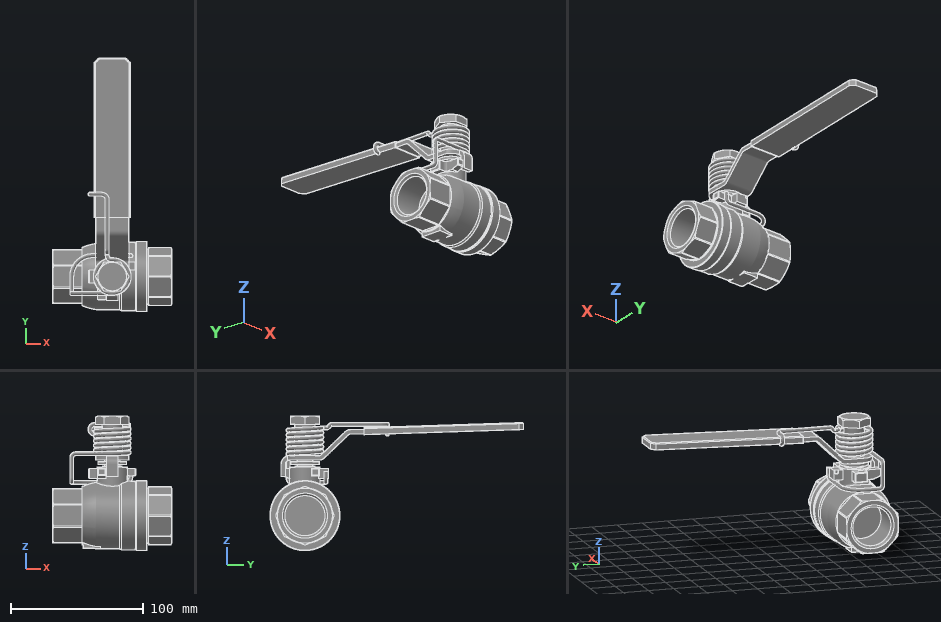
import cadquery as cq
import math


half_length = 45.0
octagon_sides = 8
octagon_flats = 41.0
octagon_corner_diameter = 44.0
end_chamfer_length = 0.6
end_chamfer_height = 1.3
left_end_x = -22.9
shoulder_x = -12.0
shoulder_start_radius = 22.0
shoulder_crown = 0.4
barrel_radius = 25.1
band_ramp_x = 5.4
band_x = 7.1
band_radius = 26.0
groove_x = 17.4
groove_width = 0.8
groove_depth = 0.8
flange_radius = 26.5
flange_chamfer = 0.4
flange_end_x = 26.4
neck_radius = 21.0
right_end_x = 27.4

port_diameter = 30.29
port_mouth_diameter = 34.0
port_depth = 26.0

pad_start_x = -22.0
pad_end_x = -8.8
pad_width = 18.4
pad_bottom_z = -24.8

boss_radius = 23.0 / 2
boss_top_z = 36.7
boss_root_fillet = 1.5
boss_root_sink = 0.15
lug_reach = 17.8
lug_top_z = 35.7
lug_bottom_z = 28.0
wide_lug_width = 10.0
narrow_lug_start = 4.8
narrow_lug_end = 11.0
right_lug_bottom_z = 30.0
front_lug_tip_z = 30.4
lug_root_fillet = 2.5
lug_tip_chamfer = 0.6
notch_y = 15.5
notch_width = 3.0
notch_depth = 1.0
notch_bottom_z = 32.7

stem_radius = 11.8 / 2
packing_radius = 7.5
packing_top_z = 37.6
washer_radius = 10.9
washer_bottom_z = 38.5
washer_top_z = 40.9
sleeve_radius = 15.5 / 2
nut_flats = 22.0
nut_bottom_z = 69.0
nut_top_z = 75.44
nut_chamfer_length = 1.1
nut_chamfer_height = 1.9

strap_width = 25.0
strap_thickness = 3.5
strap_bottom_z = 41.9
strap_top_z = strap_bottom_z + strap_thickness
strap_end_radius = 13.95
strap_end_corner_radius = 4.0
bend_start_y = 13.0
bend_end_y = 33.5
bend_inner_radius = 2.5
bend_outer_radius = bend_inner_radius + strap_thickness
handle_bottom_z = 61.6
stop_tab_width = 9.0
stop_tab_front_y = -18.1
stop_tab_bottom_z = 29.4
stop_tab_bend_radius = 6.5
stop_tab_corner_radius = 1.0

grip_start_y = 44.7
grip_overlap = 5.0
grip_end_y = 165.14
grip_width = 27.2
grip_thickness = 5.4
grip_bottom_z = 61.1
grip_tilt = 1.85
grip_corner = 3.5
grip_edge_chamfer = 0.8

wire_radius = 1.5
coil_radius = 12.75
coil_start_z = 46.8
coil_turns = 5.5
coil_pitch = 3.54
lower_leg_x = -30.6
lower_leg_z = 25.2
lower_leg_end_x = 14.0
lower_leg_tip_z = 33.5
lower_leg_sweep = 15.8
wire_bend = 3.0
lower_leg_tip_bend = 4.0
upper_leg_bend = 4.3
crank_bend = 1.0
upper_leg_x = -3.8
upper_leg_low_y = 17.0
upper_leg_high_y = 19.8
upper_leg_z = 68.95
hook_y = 62.2
hook_end_x = -13.1
hook_reach_x = -16.8
hook_drop = 7.3
hook_bend = 3.6


def box_between(x0, x1, y0, y1, z0, z1):
    return cq.Workplane("XY").box(x1 - x0, y1 - y0, z1 - z0, centered=False).translate((x0, y0, z0))


def cylinder_between(radius, z0, z1):
    return cq.Workplane("XY").workplane(offset=z0).circle(radius).extrude(z1 - z0)


def octagon_end(x0, x1, turn):
    """Octagonal wrench end with its corners turned down and its outer rim chamfered."""
    across_corners = octagon_flats / math.cos(math.pi / octagon_sides)
    prism = cq.Workplane("YZ").polygon(octagon_sides, across_corners).extrude(x1 - x0)
    prism = prism.rotate((0, 0, 0), (1, 0, 0), turn).translate((x0, 0, 0))
    outer_face = "<X" if x0 < 0 else ">X"
    turned = cq.Workplane("YZ").workplane(offset=x0).circle(octagon_corner_diameter / 2).extrude(x1 - x0)
    return prism.intersect(turned.faces(outer_face).chamfer(end_chamfer_length, end_chamfer_height))


def turned_body():
    groove_radius = band_radius - groove_depth
    shoulder_mid_radius = (shoulder_start_radius + barrel_radius) / 2 + shoulder_crown
    shoulder_mid = ((left_end_x + shoulder_x) / 2, shoulder_mid_radius)
    profile = (
        cq.Workplane("XY")
        .moveTo(left_end_x, 0)
        .lineTo(left_end_x, shoulder_start_radius)
        .threePointArc(shoulder_mid, (shoulder_x, barrel_radius))
        .lineTo(band_ramp_x, barrel_radius)
        .lineTo(band_x, band_radius)
        .lineTo(groove_x, band_radius)
        .lineTo(groove_x, groove_radius)
        .lineTo(groove_x + groove_width, groove_radius)
        .lineTo(groove_x + groove_width, flange_radius)
        .lineTo(flange_end_x - flange_chamfer, flange_radius)
        .lineTo(flange_end_x, flange_radius - flange_chamfer)
        .lineTo(flange_end_x, neck_radius)
        .lineTo(right_end_x, neck_radius)
        .lineTo(right_end_x, 0)
        .close()
    )
    return profile.revolve(360, (0, 0, 0), (1, 0, 0))


def port(side):
    """Blind threaded port with a 45 degree mouth; side is -1 or +1 along X."""
    radius = port_diameter / 2
    mouth_radius = port_mouth_diameter / 2
    face = side * half_length
    bevel_end = face - side * (mouth_radius - radius)
    floor = face - side * port_depth
    profile = (
        cq.Workplane("XY")
        .moveTo(face, 0)
        .lineTo(face, mouth_radius)
        .lineTo(bevel_end, radius)
        .lineTo(floor, radius)
        .lineTo(floor, 0)
        .close()
    )
    return profile.revolve(360, (0, 0, 0), (1, 0, 0))


def chamfered_tip(lug, tip):
    return lug.faces(tip).edges().chamfer(lug_tip_chamfer)


def front_lug():
    """Lug toward -Y whose underside rises to the tip."""
    points = [
        (0, lug_bottom_z),
        (0, lug_top_z),
        (-lug_reach, lug_top_z),
        (-lug_reach, front_lug_tip_z),
        (-boss_radius, lug_bottom_z),
    ]
    width = narrow_lug_end - narrow_lug_start
    lug = cq.Workplane("YZ").polyline(points).close().extrude(width)
    return lug.translate((-narrow_lug_end, 0, 0))


def back_lug():
    """Lug toward +Y with a shallow U notch in its -X side."""
    side = wide_lug_width / 2
    notch_radius = notch_width / 2
    lug = box_between(-side, side, 0, lug_reach, lug_bottom_z, lug_top_z)
    notch_z = notch_bottom_z + notch_radius
    notch = (
        cq.Workplane("YZ")
        .workplane(offset=-side)
        .moveTo(notch_y - notch_radius, lug_top_z)
        .lineTo(notch_y - notch_radius, notch_z)
        .threePointArc((notch_y, notch_bottom_z), (notch_y + notch_radius, notch_z))
        .lineTo(notch_y + notch_radius, lug_top_z)
        .close()
        .extrude(notch_depth)
    )
    return lug.cut(notch)


def left_lug():
    side = wide_lug_width / 2
    return box_between(-lug_reach, 0, -side, side, lug_bottom_z, lug_top_z)


def right_lug():
    return box_between(0, lug_reach, narrow_lug_start, narrow_lug_end, right_lug_bottom_z, lug_top_z)


def stop_lugs():
    left = chamfered_tip(left_lug(), "<X")
    right = chamfered_tip(right_lug(), ">X")
    front = chamfered_tip(front_lug(), "<Y")
    inner_corner = cq.selectors.NearestToPointSelector(
        (-narrow_lug_end, -wide_lug_width / 2, (lug_bottom_z + lug_top_z) / 2)
    )
    pair = left.union(front).edges("|Z").edges(inner_corner).fillet(lug_root_fillet)
    return pair.union(back_lug()).union(right)


def stem_boss():
    """Boss with a filleted root that follows the barrel and sinks slightly into it."""
    blank_half_length = 2 * boss_radius
    barrel = cq.Workplane("YZ").circle(barrel_radius - boss_root_sink).extrude(blank_half_length, both=True)
    blank = barrel.union(cylinder_between(boss_radius, 0, boss_top_z))
    root = cq.selectors.BoxSelector(
        (-boss_radius, -boss_radius, boss_radius),
        (boss_radius, boss_radius, barrel_radius),
    )
    blank = blank.edges(root).fillet(boss_root_fillet)
    return blank.intersect(cylinder_between(boss_radius + boss_root_fillet, 0, boss_top_z))


def valve_body():
    body = turned_body().union(stem_boss())
    body = body.union(octagon_end(-half_length, left_end_x, 180 / octagon_sides))
    body = body.union(octagon_end(right_end_x, half_length, 0))
    pad = box_between(pad_start_x, pad_end_x, -pad_width / 2, pad_width / 2, pad_bottom_z, -barrel_radius / 2)
    body = body.union(pad).union(stop_lugs())
    return body.cut(port(-1)).cut(port(1))


def stem():
    nut = (
        cq.Workplane("XY")
        .workplane(offset=nut_bottom_z)
        .polygon(6, nut_flats / math.cos(math.pi / 6))
        .extrude(nut_top_z - nut_bottom_z)
    )
    nut_blank = cylinder_between(nut_flats / math.sqrt(3), nut_bottom_z, nut_top_z)
    nut = nut.intersect(nut_blank.faces(">Z").chamfer(nut_chamfer_length, nut_chamfer_height))
    return (
        cylinder_between(stem_radius, 0, nut_top_z)
        .union(cylinder_between(packing_radius, 0, packing_top_z))
        .union(cylinder_between(washer_radius, washer_bottom_z, washer_top_z))
        .union(cylinder_between(sleeve_radius, strap_bottom_z, nut_top_z))
        .union(nut)
    )


def strap():
    """Cranked flat strap, extruded across X, with a round end about the stem."""
    reach_y = grip_start_y + grip_overlap
    slope = math.atan2(handle_bottom_z - strap_bottom_z, bend_end_y - bend_start_y)
    shift = strap_thickness * math.tan(slope / 2)
    handle_top_z = handle_bottom_z + strap_thickness
    upper_bend_y = bend_end_y - shift
    lower_bend_y = bend_start_y - shift
    points = [
        (0, strap_bottom_z),
        (bend_start_y, strap_bottom_z),
        (bend_end_y, handle_bottom_z),
        (reach_y, handle_bottom_z),
        (reach_y, handle_top_z),
        (upper_bend_y, handle_top_z),
        (lower_bend_y, strap_top_z),
        (0, strap_top_z),
    ]
    side = strap_width / 2
    plate = cq.Workplane("YZ").polyline(points).close().extrude(side, both=True)
    bends = [
        (bend_start_y, strap_bottom_z, bend_outer_radius),
        (bend_end_y, handle_bottom_z, bend_inner_radius),
        (upper_bend_y, handle_top_z, bend_outer_radius),
        (lower_bend_y, strap_top_z, bend_inner_radius),
    ]
    for y, z, radius in bends:
        plate = plate.edges("|X").edges(cq.selectors.NearestToPointSelector((0, y, z))).fillet(radius)
    round_end = cylinder_between(strap_end_radius, strap_bottom_z, strap_top_z)
    front_half = box_between(-side, side, -strap_end_radius, 0, strap_bottom_z, strap_top_z)
    round_end = round_end.intersect(front_half)
    corner_y = -math.sqrt(strap_end_radius**2 - side**2)
    for x in (-side, side):
        corner = cq.selectors.NearestToPointSelector((x, corner_y, strap_bottom_z))
        round_end = round_end.edges("|Z").edges(corner).fillet(strap_end_corner_radius)
    return plate.union(round_end)


def stop_tab():
    """Narrow tongue that bends down in front of the boss and meets the stop lugs."""
    inner_radius = stop_tab_bend_radius - strap_thickness
    bend_y = stop_tab_front_y + stop_tab_bend_radius
    bend_z = strap_top_z - stop_tab_bend_radius
    diagonal = math.sqrt(0.5)
    profile = (
        cq.Workplane("YZ")
        .moveTo(0, strap_top_z)
        .lineTo(bend_y, strap_top_z)
        .threePointArc(
            (bend_y - stop_tab_bend_radius * diagonal, bend_z + stop_tab_bend_radius * diagonal),
            (stop_tab_front_y, bend_z),
        )
        .lineTo(stop_tab_front_y, stop_tab_bottom_z)
        .lineTo(stop_tab_front_y + strap_thickness, stop_tab_bottom_z)
        .lineTo(stop_tab_front_y + strap_thickness, bend_z)
        .threePointArc(
            (bend_y - inner_radius * diagonal, bend_z + inner_radius * diagonal),
            (bend_y, strap_bottom_z),
        )
        .lineTo(0, strap_bottom_z)
        .close()
    )
    tab = profile.extrude(stop_tab_width / 2, both=True)
    return tab.faces("<Z").edges("|Y").fillet(stop_tab_corner_radius)


def grip():
    length = grip_end_y - grip_start_y
    rise = length * math.tan(math.radians(grip_tilt))
    points = [
        (grip_start_y, grip_bottom_z),
        (grip_end_y, grip_bottom_z + rise),
        (grip_end_y, grip_bottom_z + rise + grip_thickness),
        (grip_start_y, grip_bottom_z + grip_thickness),
    ]
    bar = cq.Workplane("YZ").polyline(points).close().extrude(grip_width / 2, both=True)
    bar = bar.edges("|Z and >Y").chamfer(grip_corner)
    return bar.faces(">Z").edges("not <Y").chamfer(grip_edge_chamfer)


def wire_along(path, start, direction):
    section = cq.Workplane(cq.Plane(origin=start, normal=direction)).circle(wire_radius)
    return section.sweep(path, transition="round")


def coil():
    """Right-handed coil that starts on the -Y side and ends on the +Y side."""
    height = coil_turns * coil_pitch
    helix = cq.Wire.makeHelix(coil_pitch, height, coil_radius)
    section = cq.Workplane("XZ").center(coil_radius, 0).circle(wire_radius)
    turns = section.sweep(cq.Workplane(obj=helix), isFrenet=True)
    return turns.rotate((0, 0, 0), (0, 0, 1), -90).translate((0, 0, coil_start_z))


def rounded_path(points, bends):
    """Wire through the points with its inner corners rounded to the given radii."""
    corners = [cq.Vector(*p) for p in points]
    edges = []
    start = corners[0]
    for before, corner, after, bend in zip(corners, corners[1:], corners[2:], bends):
        back = (before - corner).normalized()
        ahead = (after - corner).normalized()
        half_angle = back.getAngle(ahead) / 2
        setback = bend / math.tan(half_angle)
        bisector = (back + ahead).normalized()
        enter = corner + back * setback
        leave = corner + ahead * setback
        middle = corner + bisector * (bend / math.sin(half_angle) - bend)
        edges.append(cq.Edge.makeLine(start, enter))
        edges.append(cq.Edge.makeThreePointArc(enter, middle, leave))
        start = leave
    edges.append(cq.Edge.makeLine(start, corners[-1]))
    return cq.Workplane(obj=cq.Wire.assembleEdges(edges))


def lower_leg():
    points = [
        (0, -coil_radius, coil_start_z),
        (lower_leg_x, -coil_radius, coil_start_z),
        (lower_leg_x, -coil_radius, lower_leg_z),
        (lower_leg_x, lower_leg_sweep, lower_leg_z),
        (lower_leg_end_x, lower_leg_sweep, lower_leg_z),
        (lower_leg_end_x, lower_leg_sweep, lower_leg_tip_z),
    ]
    path = rounded_path(points, [wire_bend, wire_bend, lower_leg_sweep, lower_leg_tip_bend])
    return wire_along(path, points[0], (-1, 0, 0))


def upper_leg():
    coil_end_z = coil_start_z + coil_turns * coil_pitch
    points = [
        (0, coil_radius, coil_end_z),
        (upper_leg_x, coil_radius, coil_end_z),
        (upper_leg_x, upper_leg_low_y, coil_end_z),
        (upper_leg_x, upper_leg_high_y, upper_leg_z),
        (upper_leg_x, hook_y, upper_leg_z),
        (hook_reach_x, hook_y, upper_leg_z),
        (hook_reach_x, hook_y, upper_leg_z - hook_drop),
        (hook_end_x, hook_y, upper_leg_z - hook_drop),
    ]
    path = rounded_path(points, [wire_bend, crank_bend, crank_bend, upper_leg_bend, hook_bend, hook_bend])
    return wire_along(path, points[0], (-1, 0, 0))


lever = strap().union(stop_tab()).union(grip())
spring = coil().union(lower_leg()).union(upper_leg())
result = valve_body().union(stem()).union(lever).union(spring)